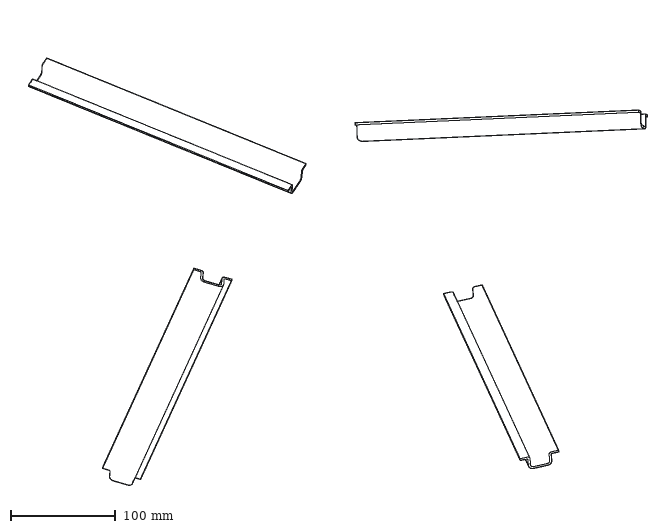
import cadquery as cq

length = 277.5
overall_width = 38.3
overall_height = 15.0
sheet = 2.2
channel_width = 19.0
tilt = 4.2
lip_outer_radius = 2.5
lip_inner_radius = 0.8
floor_inner_radius = 2.5
floor_outer_radius = floor_inner_radius + sheet

half_width = overall_width / 2
half_inner = channel_width / 2
half_outer = half_inner + sheet
top = overall_height / 2
bottom = -top


def rail_blank():
    """Square-cornered hat section extruded along X and centred on the origin."""
    right_half = [
        (half_outer, bottom),
        (half_outer, top - sheet),
        (half_width, top - sheet),
        (half_width, top),
        (half_inner, top),
        (half_inner, bottom + sheet),
    ]
    left_half = [(-y, z) for y, z in reversed(right_half)]
    section = cq.Workplane("YZ").polyline(right_half + left_half).close()
    return section.extrude(length / 2, both=True)


def round_bend(body, y, z, radius):
    """Round the mirrored pair of lengthwise edges passing through (+-y, z)."""
    for side in (-1, 1):
        edge = cq.selectors.NearestToPointSelector((0, side * y, z))
        body = body.edges("|X").edges(edge).fillet(radius)
    return body


rail = rail_blank()
rail = round_bend(rail, half_inner, top, lip_outer_radius)
rail = round_bend(rail, half_outer, top - sheet, lip_inner_radius)
rail = round_bend(rail, half_inner, bottom + sheet, floor_inner_radius)
rail = round_bend(rail, half_outer, bottom, floor_outer_radius)

result = rail.rotate((0, 0, 0), (1, 0, 0), -tilt)